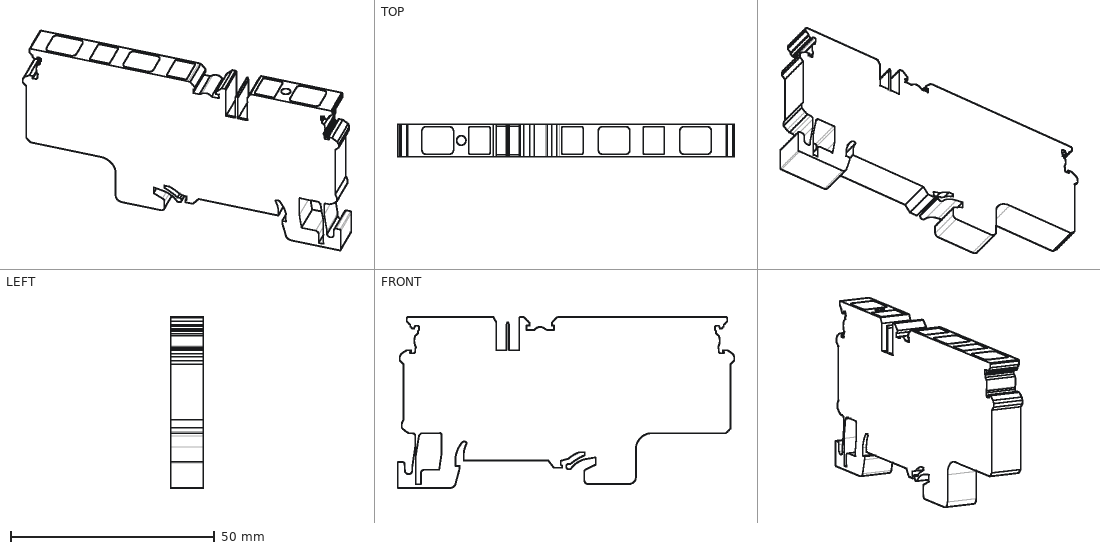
import cadquery as cq
import math

length = 82.85
thickness = 8.0
height = 42.2

end_wall_left = 1.4
latch_reach = 0.9
end_wall_right = length - latch_reach
mirror_sum = end_wall_left + end_wall_right
shoulder_z = 13.5
belly_z = 6.8
slot_floor_z = 34.0

right_foot_x = 58.65
foot_floor_z = 1.0
right_foot_corner = 1.7
overhang_radius = 3.9
overhang_chamfer = 1.2

slot_left = 24.3
slot_right = 29.9
slot_lead_in = 0.75
slot_lead_in_depth = 1.3
slot_right_chamfer = 0.25
fin_left = 26.8
fin_width = 0.7
fin_taper = 0.25
fin_top_z = 40.85
fin_shoulder_z = 40.3

groove_floor_z = 38.9
groove_lip_z = 40.0
groove_outline = [
    (31.0, height),
    (32.5, 40.7),
    (32.5, groove_lip_z),
    (31.7, groove_lip_z),
    (31.7, groove_floor_z),
    (33.6, groove_floor_z),
    ((35.0, 39.7), (36.3, 39.2)),
    (36.8, groove_floor_z),
    (38.45, groove_floor_z),
    (38.45, groove_lip_z),
    (37.95, groove_lip_z),
    (37.95, 40.8),
    (39.2, 42.1),
    (39.8, height),
]

recess_depth = 0.1
recess_y = thickness / 2
recess_width = 6.8
slot_recess_width = 7.05
wire_entry_length = 7.8
wire_entry_corner = 1.1
wire_entries_x = (9.9, 53.3, 73.3)
release_length = 5.2
release_corner = 0.3
releases_x = (20.1, 43.0, 63.05)
test_point_x = 15.7
test_point_diameter = 2.3

end_profile = [
    (2.5, height),
    (2.2, 41.9),
    (2.2, 41.0),
    (3.1, 40.2),
    (3.1, 39.85),
    (3.6, 39.3),
    (4.1, 39.3),
    (4.3, 39.9),
    (4.8, 39.9),
    ((5.1, 39.85), (5.2, 39.5)),
    (5.2, 38.9),
    (5.0, 38.6),
    (5.0, 38.0),
    (4.3, 37.5),
    ((4.1, 36.3), (4.3, 35.05)),
    (4.5, 34.7),
    (4.3, 34.3),
    (4.3, 33.55),
    (4.1, 33.2),
    (3.1, 33.2),
    (3.1, 33.55),
    (3.3, 33.55),
    (3.3, slot_floor_z),
    (2.2, slot_floor_z),
    (0.8, 33.05),
    (end_wall_left - latch_reach, 32.3),
    (end_wall_left - latch_reach, 31.4),
    (end_wall_left, 30.5),
]

left_foot = [
    (end_wall_left, 16.8),
    ((1.0, 15.8), (1.0, 14.8)),
    (1.9, 14.0),
    (2.7, shoulder_z),
    (3.6, shoulder_z),
    ((4.1, 13.3), (4.3, 12.85)),
    (4.3, 10.2),
    (3.6, 5.2),
    (3.6, 4.15),
    ((2.65, 3.5), (1.8, 4.15)),
    (1.7, 5.9),
    ((1.6, 6.3), (1.25, 6.5)),
    (0.25, 6.5),
    ((0.1, 6.4), (0.0, 6.2)),
    (0.0, 0.25),
    ((0.1, 0.1), (0.25, 0.0)),
    (13.0, 0.0),
    ((13.75, 0.3), (14.25, 1.0)),
    (15.25, 4.7),
    (15.25, 5.5),
    (14.25, 5.5),
    (14.25, 7.5),
    ((14.75, 9.4), (15.8, 11.2)),
    ((16.3, 11.4), (17.0, 11.1)),
    ((16.3, 9.2), (16.2, 7.45)),
    (16.2, belly_z),
]

rail_stop_and_tongue = [
    (37.0, belly_z),
    (38.45, 5.0),
    (40.5, 5.0),
    (40.5, 5.5),
    (40.2, 5.7),
    (40.2, 6.7),
    (42.0, 7.2),
    ((43.25, 8.1), (44.65, 8.8)),
    (46.0, 8.8),
    (46.0, 8.1),
    ((44.1, 7.1), (42.5, 6.0)),
    (41.8, 6.0),
    ((41.6, 4.9), (42.7, 4.8)),
    ((44.25, 6.3), (46.7, 7.2)),
    (48.7, 7.5),
    (48.7, 5.8),
    (46.5, 4.7),
    ((46.1, 4.5), (45.9, 4.1)),
    (45.9, 2.0),
    ((46.15, 1.3), (46.7, foot_floor_z)),
]

clip_opening = [
    (5.8, shoulder_z),
    (10.35, shoulder_z),
    ((10.7, 13.4), (10.8, 13.1)),
    (10.8, 8.45),
    (10.2, 4.55),
    (6.55, 4.55),
    ((6.0, 4.3), (5.7, 3.7)),
    (5.7, foot_floor_z),
    (4.5, foot_floor_z),
    (4.5, 7.95),
    (5.3, 13.0),
]


def mirrored(point):
    return (mirror_sum - point[0], point[1])


def is_arc(step):
    return isinstance(step[0], tuple)


def step_end(step):
    return step[1] if is_arc(step) else step


def trace(path, steps):
    """Add the straight and arc steps to the path."""
    for step in steps:
        if is_arc(step):
            path = path.threePointArc(*step)
        else:
            path = path.lineTo(*step)
    return path


def plate(outline):
    """Close the outline, which starts at a plain point, and extrude it through the thickness."""
    path = cq.Workplane("XZ").moveTo(*outline[0])
    return trace(path, outline[1:]).close().extrude(-thickness)


def arc_middle_inset(radius):
    """Distance, along each axis, from a square corner to the middle of its rounding."""
    return radius * (1 - math.sqrt(0.5))


def right_underside():
    """Right foot, the rounded inside corner and the overhang, up to the right end wall."""
    bend = arc_middle_inset(overhang_radius)
    foot_bend = arc_middle_inset(right_foot_corner)
    return [
        (right_foot_x - right_foot_corner, foot_floor_z),
        (
            (right_foot_x - foot_bend, foot_floor_z + foot_bend),
            (right_foot_x, foot_floor_z + right_foot_corner),
        ),
        (right_foot_x, shoulder_z - overhang_radius),
        (
            (right_foot_x + bend, shoulder_z - bend),
            (right_foot_x + overhang_radius, shoulder_z),
        ),
        (end_wall_right - overhang_chamfer, shoulder_z),
        (end_wall_right, shoulder_z + overhang_chamfer),
    ]


def right_end():
    """The end profile mirrored and walked from the end wall up to the top face."""
    ends = [step_end(step) for step in end_profile]
    steps = [mirrored(ends[-1])]
    for step, target in zip(reversed(end_profile[1:]), reversed(ends[:-1])):
        if is_arc(step):
            steps.append((mirrored(step[0]), mirrored(target)))
        else:
            steps.append(mirrored(target))
    return steps


def housing():
    underside = left_foot + rail_stop_and_tongue + right_underside()
    return plate(end_profile + underside + right_end())


def jumper_slots():
    fin_right = fin_left + fin_width
    outline = [
        (slot_left - slot_lead_in, height),
        (slot_left, height - slot_lead_in_depth),
        (slot_left, slot_floor_z),
        (fin_left, slot_floor_z),
        (fin_left, fin_shoulder_z),
        (fin_left + fin_taper, fin_top_z),
        (fin_right - fin_taper, fin_top_z),
        (fin_right, fin_shoulder_z),
        (fin_right, slot_floor_z),
        (slot_right, slot_floor_z),
        (slot_right, height - slot_right_chamfer),
        (slot_right + slot_right_chamfer, height),
    ]
    return plate(outline)


def recess(center_x, size_x, corner):
    """A shallow rounded rectangle in the top face."""
    return (
        cq.Workplane("XY", origin=(center_x, recess_y, height - recess_depth))
        .rect(size_x, recess_width)
        .extrude(recess_depth)
        .edges("|Z")
        .fillet(corner)
    )


def slot_floor_recess():
    slot_center = (slot_left + slot_right) / 2
    fin_center = fin_left + fin_width / 2
    fin = cq.Workplane("XY").box(fin_width, thickness, height, centered=(True, False, False))
    floor = (
        cq.Workplane("XY", origin=(slot_center, recess_y, slot_floor_z - recess_depth))
        .rect(slot_right - slot_left, slot_recess_width)
        .extrude(recess_depth)
    )
    return floor.cut(fin.translate((fin_center, 0, 0)))


def test_point():
    return (
        cq.Workplane("XY", origin=(test_point_x, recess_y, height - recess_depth))
        .circle(test_point_diameter / 2)
        .extrude(recess_depth)
    )


result = housing().cut(plate(clip_opening))
result = result.cut(jumper_slots()).cut(plate(groove_outline))
result = result.cut(slot_floor_recess()).cut(test_point())
for x in wire_entries_x:
    result = result.cut(recess(x, wire_entry_length, wire_entry_corner))
for x in releases_x:
    result = result.cut(recess(x, release_length, release_corner))